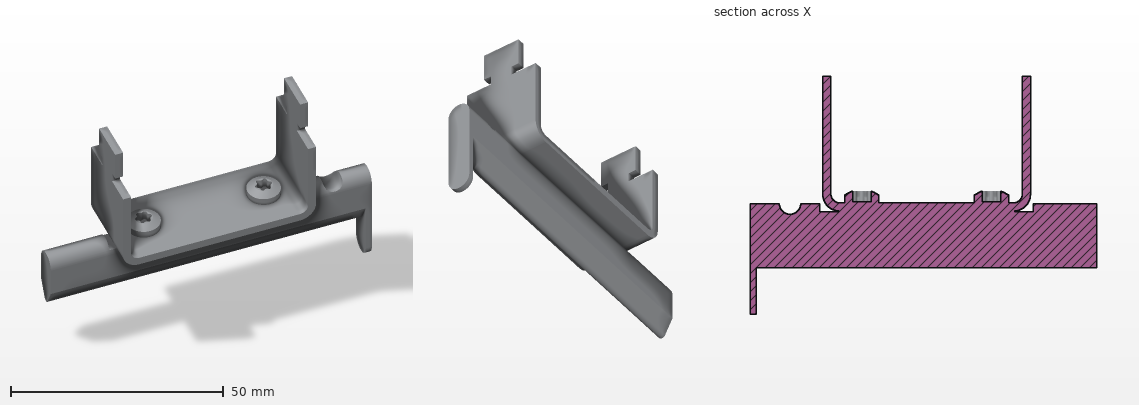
import cadquery as cq
import math


bracket_width = 20.0
bracket_length = 49.0
sheet = 2.0
bend_radius = 4.1
shoulder_z = 21.85
head_bottom_z = 24.3
arm_top_z = 31.8
neck_width = 6.0
head_width = 10.0

bar_length = 81.5
bar_end_y = 41.5
bar_width = 6.0
bar_radius = bar_width / 2
bar_top_z = 1.8
crown_z = bar_top_z - bar_radius
taper_z = -8.55
apex_z = -14.4
edge_radius = 1.0
seat_length = 50.05

groove_y = 32.1
groove_radius = 2.45

prong_bottom_z = -24.2
prong_thickness = 1.55

screw_spacing = 30.5
screw_radius = 4.1
screw_rim_height = 1.8
dome_height = 1.0
dome_flat_radius = 2.2
dome_radius = 7.0
lobe_count = 6
lobe_tip_radius = 2.1
lobe_root_radius = 1.59
recess_depth = 2.45


def centred_block(width, length, bottom_z, top_z, y=0.0):
    """Box centred on X = 0 and on the given Y, between two heights."""
    block = cq.Workplane("XY").box(width, length, top_z - bottom_z, centered=(True, True, False))
    return block.translate((0, y, bottom_z))


def make_bracket():
    bracket = centred_block(bracket_width, bracket_length, 0, arm_top_z)
    bracket = bracket.edges("|X and <Z").fillet(bend_radius)
    inside = centred_block(bracket_width, bracket_length - 2 * sheet, sheet, arm_top_z)
    bracket = bracket.cut(inside.edges("|X and <Z").fillet(bend_radius - sheet))

    neck = centred_block(neck_width, bracket_length, shoulder_z, arm_top_z)
    head = centred_block(head_width, bracket_length, head_bottom_z, arm_top_z)
    waste = centred_block(bracket_width, bracket_length, shoulder_z, arm_top_z)
    return bracket.cut(waste.cut(neck.union(head)))


def make_bar():
    end_plane = cq.Workplane("XZ", origin=(0, bar_end_y, 0))
    bar = (
        end_plane.moveTo(-bar_radius, taper_z)
        .lineTo(-bar_radius, crown_z)
        .threePointArc((0, bar_top_z), (bar_radius, crown_z))
        .lineTo(bar_radius, taper_z)
        .lineTo(0, apex_z)
        .close()
        .extrude(bar_length)
    )
    bar = bar.edges("|Y and <Z").fillet(edge_radius)

    prong_end_z = prong_bottom_z + bar_radius
    prong = (
        end_plane.moveTo(-bar_radius, crown_z)
        .lineTo(bar_radius, crown_z)
        .lineTo(bar_radius, prong_end_z)
        .threePointArc((0, prong_bottom_z), (-bar_radius, prong_end_z))
        .close()
        .extrude(prong_thickness)
    )

    seat = centred_block(bar_width, seat_length, 0, bar_top_z)
    groove = (
        cq.Workplane("YZ")
        .center(groove_y, bar_top_z)
        .circle(groove_radius)
        .extrude(bar_radius, both=True)
    )
    return bar.union(prong).cut(seat).cut(groove)


def polar(radius, degrees):
    angle = math.radians(degrees)
    return (radius * math.cos(angle), radius * math.sin(angle))


def make_recess(top_z):
    """Six-lobe socket: rounded lobes alternating with rounded roots."""
    pitch = 360 / lobe_count
    mid_radius = (lobe_tip_radius + lobe_root_radius) / 2
    outline = cq.Workplane("XY", origin=(0, 0, top_z)).moveTo(*polar(mid_radius, pitch / 4))
    for index in range(lobe_count):
        start = index * pitch
        outline = outline.threePointArc(
            polar(lobe_tip_radius, start + pitch / 2), polar(mid_radius, start + 3 * pitch / 4)
        )
        outline = outline.threePointArc(
            polar(lobe_root_radius, start + pitch), polar(mid_radius, start + 5 * pitch / 4)
        )
    return outline.close().extrude(-recess_depth)


def make_screw_head():
    rim_z = sheet + screw_rim_height
    top_z = rim_z + dome_height
    dome_centre_z = rim_z - math.sqrt(dome_radius**2 - screw_radius**2)
    mid_radius = (screw_radius + dome_flat_radius) / 2
    mid_z = dome_centre_z + math.sqrt(dome_radius**2 - mid_radius**2)
    head = (
        cq.Workplane("XZ")
        .moveTo(0, sheet)
        .lineTo(screw_radius, sheet)
        .lineTo(screw_radius, rim_z)
        .threePointArc((mid_radius, mid_z), (dome_flat_radius, top_z))
        .lineTo(0, top_z)
        .close()
        .revolve(360, (0, 0, 0), (0, 1, 0))
    )
    return head.cut(make_recess(top_z))


result = make_bracket().union(make_bar())
for side in (-1, 1):
    result = result.union(make_screw_head().translate((0, side * screw_spacing / 2, 0)))